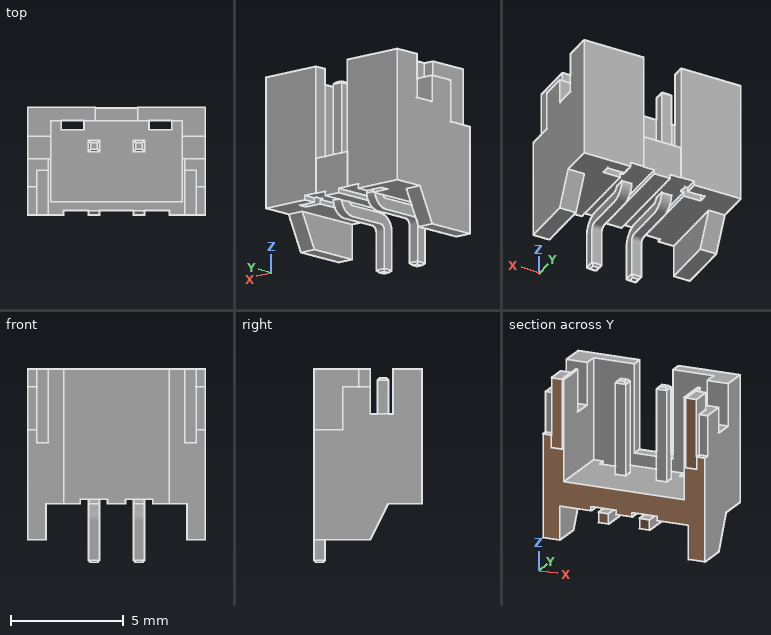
import cadquery as cq
import math


housing_width = 7.9
housing_depth = 4.8
body_height = 6.0

foot_width = 0.82
foot_height = 1.6
foot_back_top = 3.3
foot_back_bottom = 2.5

cavity_width = 5.85
cavity_front = 0.6
cavity_back = 4.2
floor_thickness = 1.2

back_gap_width = 1.88
back_gap_depth = 4.2
back_recess = 0.03
front_recess_width = 4.7
front_recess = 0.2
side_notch_front = 2.5
side_notch_back = 3.5
side_notch_depth = 2.0
floor_window_inner = 1.45
floor_window_outer = 2.45
floor_window_depth = 0.4
pin_channel_width = 1.2
pin_channel_height = 0.2

plate_thickness = 0.51
plate_inset = 0.41
plate_depth = 2.0
plate_height = 3.28
upper_step_drop = 0.8
lower_step_drop = 2.7
lower_step_depth = 1.27

pin_pitch = 2.0
pin_size = 0.5
pin_center_y = 3.07
pin_top = body_height - 0.4
pin_bottom = -2.6
pin_tip_chamfer = 0.1
bend_inner_radius = 0.25

half_width = housing_width / 2
plate_outer = half_width - plate_inset
plate_inner = plate_outer - plate_thickness
pin_positions = (-pin_pitch / 2, pin_pitch / 2)


def block(x_range, y_range, z_range):
    """Box between two limits along each axis."""
    (x0, x1), (y0, y1), (z0, z1) = x_range, y_range, z_range
    return cq.Workplane("XY").box(x1 - x0, y1 - y0, z1 - z0, centered=False).translate((x0, y0, z0))


def centered_range(middle, width):
    return (middle - width / 2, middle + width / 2)


def side_range(side, inner, outer):
    """X limits between two distances from the mid-plane, on one side of it."""
    return tuple(sorted((side * inner, side * outer)))


def lock_plate(side):
    return block(
        side_range(side, plate_inner, plate_outer),
        (0, plate_depth),
        (body_height - plate_height, body_height),
    )


def foot(side):
    """Foot with a sloping back edge."""
    start_x = min(side_range(side, half_width - foot_width, half_width))
    profile = [
        (0, 0),
        (0, -foot_height),
        (foot_back_bottom, -foot_height),
        (foot_back_top, 0),
    ]
    return cq.Workplane("YZ", origin=(start_x, 0, 0)).polyline(profile).close().extrude(foot_width)


def side_cutouts(side):
    """Everything removed from one side wall, with the seat of its lock plate."""
    wall_x = side_range(side, cavity_width / 2, half_width)
    notch = block(
        wall_x,
        (side_notch_front, side_notch_back),
        (body_height - side_notch_depth, body_height),
    )
    upper_step = block(
        side_range(side, plate_inner, half_width),
        (0, side_notch_front),
        (body_height - upper_step_drop, body_height),
    )
    lower_step = block(
        side_range(side, plate_outer, half_width),
        (0, lower_step_depth),
        (body_height - lower_step_drop, body_height),
    )
    floor_window = block(
        side_range(side, floor_window_inner, floor_window_outer),
        (cavity_back - floor_window_depth, cavity_back),
        (0, floor_thickness),
    )
    return [notch, upper_step, lower_step, lock_plate(side), floor_window]


def pin(x):
    """Square pin: down through the floor, forward under the body, then down to the board."""
    tail_center_y = pin_size / 2
    leg_center_z = -pin_size / 2
    bend = bend_inner_radius + pin_size / 2
    arc_mid = bend * (1 - math.sqrt(0.5))
    path = (
        cq.Workplane("YZ", origin=(x, 0, 0))
        .moveTo(pin_center_y, pin_top)
        .lineTo(pin_center_y, leg_center_z + bend)
        .threePointArc(
            (pin_center_y - arc_mid, leg_center_z + arc_mid),
            (pin_center_y - bend, leg_center_z),
        )
        .lineTo(tail_center_y + bend, leg_center_z)
        .threePointArc(
            (tail_center_y + arc_mid, leg_center_z - arc_mid),
            (tail_center_y, leg_center_z - bend),
        )
        .lineTo(tail_center_y, pin_bottom)
    )
    section = cq.Workplane("XY", origin=(x, pin_center_y, pin_top)).rect(pin_size, pin_size)
    swept = section.sweep(path)
    return swept.faces("<Z or >Z").chamfer(pin_tip_chamfer)


def build_housing():
    body = block(centered_range(0, housing_width), (0, housing_depth), (0, body_height))
    for side in (-1, 1):
        body = body.union(foot(side))

    cavity = block(
        centered_range(0, cavity_width),
        (cavity_front, cavity_back),
        (floor_thickness, body_height),
    )
    back_gap = block(
        centered_range(0, back_gap_width),
        (cavity_back, housing_depth),
        (body_height - back_gap_depth, body_height),
    )
    back_relief = block(
        centered_range(0, back_gap_width),
        (housing_depth - back_recess, housing_depth),
        (0, body_height),
    )
    front_relief = block(
        centered_range(0, front_recess_width),
        (0, front_recess),
        (0, body_height),
    )
    cutouts = [cavity, back_gap, back_relief, front_relief]
    for x in pin_positions:
        channel = block(
            centered_range(x, pin_channel_width),
            (0, housing_depth),
            (0, pin_channel_height),
        )
        cutouts.extend([channel, pin(x)])
    for side in (-1, 1):
        cutouts.extend(side_cutouts(side))

    for cutout in cutouts:
        body = body.cut(cutout)
    return body


housing = build_housing()
pins = [pin(x) for x in pin_positions]
lock_plates = [lock_plate(side) for side in (-1, 1)]

result = cq.Compound.makeCompound(
    [
        housing.solids().val(),
        *[one_pin.val() for one_pin in pins],
        *[plate.val() for plate in lock_plates],
    ]
)